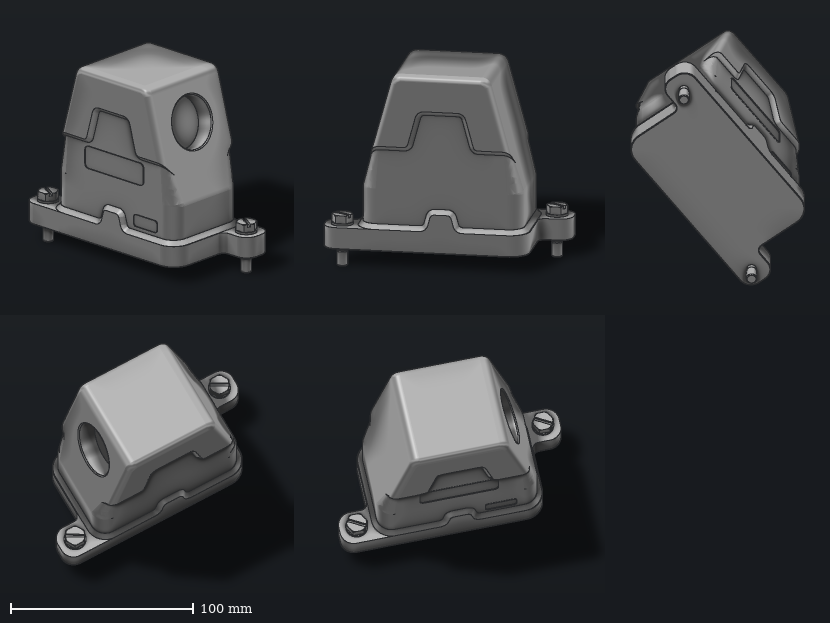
import cadquery as cq
import math

total_length = 132.0
body_width = 58.0
half_width = body_width / 2

flange_length = 96.1
flange_height = 12.3
flange_corner_radius = 11.1
flange_bottom_chamfer = 0.4
ear_width = 19.1
ear_corner_radius = 7.5
ear_root_radius = 3.8

step = 2.6
ledge_angle = 45.0
lower_length = 90.0
lower_width = body_width - 2 * step
lower_corner_radius = 8.6
bend_height = 34.7
bend_radius = 7.9

top_height = 100.6
wall_angle = 15.3
hood_base_height = 44.9
hood_side_radius = 3.5
hood_end_radius = 6.0
ledge_height = 59.7

tight_radius = 2.5
wide_radius = 5.0
tongue_height = 22.0
tongue_half_top = 5.4
window_height = 80.5
window_half_top = 13.1
shoulder_half_length = 26.4
shoulder_depth = 7.9

entry_diameter = 30.5
entry_height = 75.5
entry_depth = 10.5
entry_chamfer = 0.7
entry_chamfer_angle = 45.0

label_depth = 0.5
labels = [
    (-0.3, 48.3, 44.1, 13.1, 2.6),
    (23.2, 20.5, 17.5, 7.0, 1.7),
]

screw_x = 56.4
screw_y = 19.4
head_diameter = 12.0
washer_height = 1.2
head_height = 5.7
head_chamfer = 0.5
slot_width = 1.7
slot_depth = 1.6
slot_angle = -30.0
neck_diameter = 5.3
tip_diameter = 6.0
neck_end = -2.6
tip_start = -3.3
tip_end = -11.4
tip_chamfer = 0.5

wall_slope = math.tan(math.radians(wall_angle))


def wall_x(z):
    """Distance from the centre to the sloping end wall at height z."""
    return lower_length / 2 - (z - bend_height) * wall_slope


def rounded_block(length, width, radius, height):
    return cq.Workplane("XY").box(length, width, height, (True, True, False)).edges("|Z").fillet(radius)


def rounded_section(length, width, radius):
    return cq.Sketch().rect(length, width).vertices().fillet(radius)


def make_ear():
    """Ear at the +X +Y corner, with a rounded inner corner where it meets the flange end."""
    inner_y = half_width - ear_width
    flange_end = flange_length / 2
    ear = (
        cq.Workplane("XY")
        .moveTo(0, half_width)
        .lineTo(total_length / 2, half_width)
        .lineTo(total_length / 2, inner_y)
        .lineTo(0, inner_y)
        .close()
        .extrude(flange_height)
        .edges("|Z and >X")
        .fillet(ear_corner_radius)
    )
    root = (
        cq.Workplane("XY")
        .moveTo(flange_end, inner_y)
        .lineTo(flange_end + ear_root_radius, inner_y)
        .radiusArc((flange_end, inner_y - ear_root_radius), -ear_root_radius)
        .close()
        .extrude(flange_height)
    )
    return ear.union(root)


def make_flange():
    ear = make_ear()
    flange = rounded_block(flange_length, body_width, flange_corner_radius, flange_height)
    flange = flange.union(ear).union(ear.rotate((0, 0, 0), (0, 0, 1), 180)).clean()
    flange = flange.faces("<Z").chamfer(flange_bottom_chamfer)
    skirt = (
        cq.Workplane("XY", origin=(0, 0, flange_height))
        .placeSketch(rounded_section(lower_length + 2 * step, body_width, flange_corner_radius))
        .extrude(step, taper=ledge_angle)
    )
    return flange.union(skirt)


def make_lower_body():
    """Upright rounded block whose corners tighten as its end walls lean in."""
    upright = rounded_block(lower_length, lower_width, lower_corner_radius, bend_height)
    lean_height = ledge_height - bend_height
    leaning = (
        cq.Workplane("XY", origin=(0, 0, bend_height))
        .placeSketch(
            rounded_section(lower_length, lower_width, lower_corner_radius),
            rounded_section(2 * wall_x(ledge_height), lower_width, hood_side_radius).moved(
                cq.Location(cq.Vector(0, 0, lean_height))
            ),
        )
        .loft(ruled=True)
    )
    body = upright.union(leaning)
    bend = [edge for edge in body.edges().vals() if math.isclose(edge.Center().z, bend_height, abs_tol=0.01)]
    return body.newObject(bend).fillet(bend_radius)


def make_hood():
    """Sloping hood, undercut by a sloping ledge along both long sides."""
    top_x = wall_x(top_height)
    base_x = wall_x(hood_base_height)
    hood = (
        cq.Workplane("XZ")
        .polyline([
            (-base_x, hood_base_height),
            (base_x, hood_base_height),
            (top_x, top_height),
            (-top_x, top_height),
        ])
        .close()
        .extrude(half_width, both=True)
    )
    hood = hood.edges("|Y and >Z").fillet(hood_end_radius)
    hood = hood.faces(">Y or <Y").edges("not <Z").fillet(hood_side_radius)
    undercut_drop = ledge_height - hood_base_height
    undercut = undercut_drop * math.tan(math.radians(ledge_angle))
    clip = (
        cq.Workplane("YZ")
        .polyline([
            (-half_width, top_height),
            (-half_width, ledge_height),
            (undercut - half_width, hood_base_height),
            (half_width - undercut, hood_base_height),
            (half_width, ledge_height),
            (half_width, top_height),
        ])
        .close()
        .extrude(base_x, both=True)
    )
    return hood.intersect(clip)


def tongue_block(half_top, top, shoulder, taper):
    """Rounded trapezoid on a wide shoulder, set into the front face.

    It starts at y = -half_width and shrinks with depth for a positive taper, or grows for a negative one.
    """
    foot = half_top + (top - shoulder) * wall_slope
    turn = math.tan(math.radians(90 - wall_angle) / 2)
    sine = math.sin(math.radians(wall_angle))
    cosine = math.cos(math.radians(wall_angle))
    crown, root = (tight_radius, wide_radius) if taper < 0 else (wide_radius, tight_radius)
    crown_run = crown * turn
    root_run = root * turn
    crown_side = (half_top + crown_run * sine, top - crown_run * cosine)
    root_side = (foot - root_run * sine, shoulder + root_run * cosine)
    base = shoulder - shoulder_depth
    profile = (
        cq.Workplane("XZ", origin=(0, -half_width, 0))
        .moveTo(-shoulder_half_length, base)
        .lineTo(-shoulder_half_length, shoulder)
        .lineTo(-foot - root_run, shoulder)
        .radiusArc((-root_side[0], root_side[1]), -root)
        .lineTo(-crown_side[0], crown_side[1])
        .radiusArc((crown_run - half_top, top), crown)
        .lineTo(half_top - crown_run, top)
        .radiusArc(crown_side, crown)
        .lineTo(*root_side)
        .radiusArc((foot + root_run, shoulder), -root)
        .lineTo(shoulder_half_length, shoulder)
        .lineTo(shoulder_half_length, base)
        .close()
    )
    return profile.extrude(-step, taper=taper)


def on_both_sides(shape):
    return shape.union(shape.mirror("XZ"))


def make_entry():
    """Chamfered blind bore, square to the sloping +X wall."""
    outward = (math.cos(math.radians(wall_angle)), 0, math.sin(math.radians(wall_angle)))
    wall = cq.Workplane(cq.Plane((wall_x(entry_height), 0, entry_height), (0, 1, 0), outward))
    bore = wall.circle(entry_diameter / 2).extrude(-entry_depth)
    mouth = wall.circle(entry_diameter / 2 + entry_chamfer).extrude(-entry_chamfer, taper=entry_chamfer_angle)
    return bore.union(mouth)


def make_label(x, z, length, height, radius):
    return (
        cq.Workplane("XZ", origin=(x, -lower_width / 2, z))
        .placeSketch(rounded_section(length, height, radius))
        .extrude(-label_depth)
    )


def make_screw(x, y):
    """Slotted hexagon screw with a washer face and a relieved shank."""
    head_top = flange_height + head_height
    washer = cq.Workplane("XY", origin=(0, 0, flange_height)).circle(head_diameter / 2).extrude(washer_height)
    head = cq.Workplane("XY", origin=(0, 0, flange_height)).polygon(6, head_diameter).extrude(head_height)
    crown = (
        cq.Workplane("XY", origin=(0, 0, flange_height))
        .circle(head_diameter / 2)
        .extrude(head_height)
        .faces(">Z")
        .chamfer(head_chamfer)
    )
    slot = (
        cq.Workplane("XY", origin=(0, 0, head_top - slot_depth))
        .box(2 * head_diameter, slot_width, 2 * slot_depth, (True, True, False))
        .rotate((0, 0, 0), (0, 0, 1), slot_angle)
    )
    head = head.intersect(crown).cut(slot)
    tip_radius = tip_diameter / 2
    neck_radius = neck_diameter / 2
    shank = (
        cq.Workplane("XZ")
        .polyline([
            (0, flange_height),
            (neck_radius, flange_height),
            (neck_radius, neck_end),
            (tip_radius, tip_start),
            (tip_radius, tip_end + tip_chamfer),
            (tip_radius - tip_chamfer, tip_end),
            (0, tip_end),
        ])
        .close()
        .revolve(360, (0, 0, 0), (0, 1, 0))
    )
    return washer.union(head).union(shank).translate((x, y, 0))


window = tongue_block(window_half_top, window_height, ledge_height, taper=ledge_angle)
tongue = tongue_block(tongue_half_top, tongue_height, flange_height, taper=-ledge_angle)

result = make_hood().cut(on_both_sides(window))
result = result.union(make_lower_body())
result = result.union(make_flange())
result = result.union(on_both_sides(tongue))
result = result.cut(make_entry())
for label in labels:
    result = result.cut(make_label(*label))
for side in (-1, 1):
    result = result.union(make_screw(side * screw_x, side * screw_y))